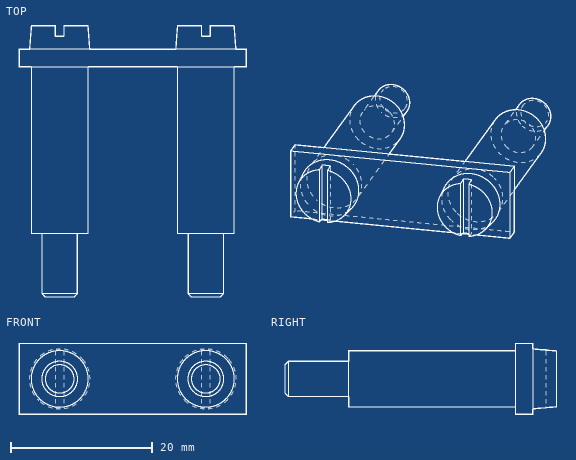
import cadquery as cq

plate_length = 32.0
plate_height = 10.0
plate_thickness = 2.5

screw_spacing = 20.6
sleeve_diameter = 8.0
sleeve_length = 23.5
pin_diameter = 5.0
pin_length = 8.95
pin_chamfer = 0.5

head_base_diameter = 8.5
head_top_diameter = 8.0
head_height = 3.35
slot_width = 1.2
slot_depth = 1.5


def make_screw(x):
    """Sleeve, pin and slotted head as one turned body on the axis at x."""
    sleeve_end = -sleeve_length
    pin_end = sleeve_end - pin_length
    head_base = plate_thickness
    head_top = head_base + head_height
    pin_radius = pin_diameter / 2
    sleeve_radius = sleeve_diameter / 2

    profile = [
        (0, pin_end),
        (pin_radius - pin_chamfer, pin_end),
        (pin_radius, pin_end + pin_chamfer),
        (pin_radius, sleeve_end),
        (sleeve_radius, sleeve_end),
        (sleeve_radius, head_base),
        (head_base_diameter / 2, head_base),
        (head_top_diameter / 2, head_top),
        (0, head_top),
    ]
    body = cq.Workplane("XY").polyline(profile).close().revolve(360, (0, 0, 0), (0, 1, 0))

    slot = (
        cq.Workplane("XY")
        .box(slot_width, slot_depth, head_base_diameter, centered=(True, False, True))
        .translate((0, head_top - slot_depth, 0))
    )
    return body.cut(slot).translate((x, 0, 0))


result = cq.Workplane("XY").box(
    plate_length, plate_thickness, plate_height, centered=(True, False, True)
)
for side in (-1, 1):
    result = result.union(make_screw(side * screw_spacing / 2))